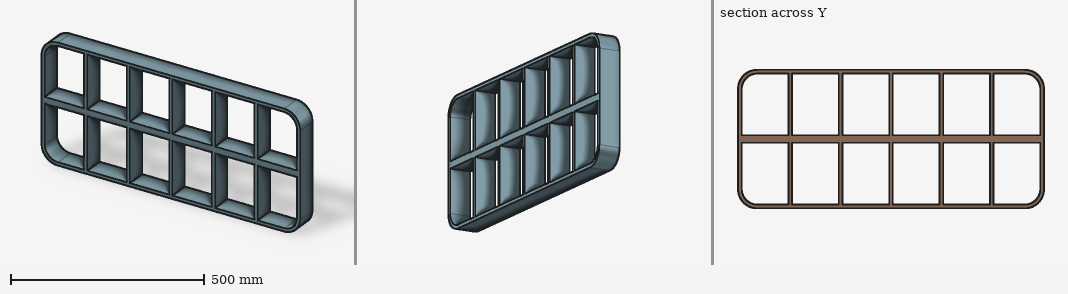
import cadquery as cq

length = 793.0
depth = 60.0
height = 359.0

wall = 10.0
upright_thickness = 10.0
shelf_thickness = 20.0
corner_radius = 50.0

columns = 6
rows = 2

inner_length = length - 2 * wall
inner_height = height - 2 * wall
column_pitch = (inner_length + upright_thickness) / columns
row_pitch = (inner_height + shelf_thickness) / rows


def block(x_size, z_size):
    return cq.Workplane("XY").box(x_size, depth, z_size)


def rounded_block(x_size, z_size, radius):
    return block(x_size, z_size).edges("|Y").fillet(radius)


outer = rounded_block(length, height, corner_radius)
opening = rounded_block(inner_length, inner_height, corner_radius - wall)

dividers = cq.Workplane("XY")
for i in range(1, columns):
    x = (i - columns / 2) * column_pitch
    dividers = dividers.add(block(upright_thickness, inner_height).translate((x, 0, 0)))
for i in range(1, rows):
    z = (i - rows / 2) * row_pitch
    dividers = dividers.add(block(inner_length, shelf_thickness).translate((0, 0, z)))
dividers = dividers.combine()

result = outer.cut(opening.cut(dividers))